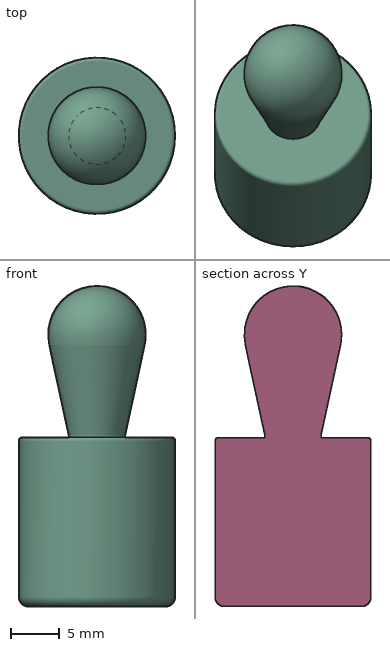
import cadquery as cq
import math

total_height = 32.8

body_diameter = 16.0
body_height = 17.32
top_edge_radius = 0.4
bottom_edge_radius = 1.02

ball_diameter = 10.0
neck_diameter = 5.8
neck_height = 0.23


def make_body():
    """Upright cylinder with both rims rounded."""
    body = cq.Workplane("XY").circle(body_diameter / 2).extrude(body_height)
    body = body.faces(">Z").edges().fillet(top_edge_radius)
    return body.faces("<Z").edges().fillet(bottom_edge_radius)


def make_pin():
    """Revolved pin: short straight neck, then a cone that runs tangent into the ball."""
    ball_radius = ball_diameter / 2
    neck_radius = neck_diameter / 2
    ball_center_z = total_height - ball_radius
    neck_top_z = body_height + neck_height

    center_distance = math.hypot(neck_radius, ball_center_z - neck_top_z)
    angle_to_neck = math.atan2(ball_center_z - neck_top_z, neck_radius)
    tangent_angle = angle_to_neck - math.acos(ball_radius / center_distance)
    tangent_point = (
        ball_radius * math.cos(tangent_angle),
        ball_center_z - ball_radius * math.sin(tangent_angle),
    )

    pin_base_z = body_height / 2
    return (
        cq.Workplane("XZ")
        .moveTo(0, pin_base_z)
        .lineTo(neck_radius, pin_base_z)
        .lineTo(neck_radius, neck_top_z)
        .lineTo(*tangent_point)
        .threePointArc((ball_radius, ball_center_z), (0, total_height))
        .close()
        .revolve(360, (0, 0, 0), (0, 1, 0))
    )


result = make_body().union(make_pin())